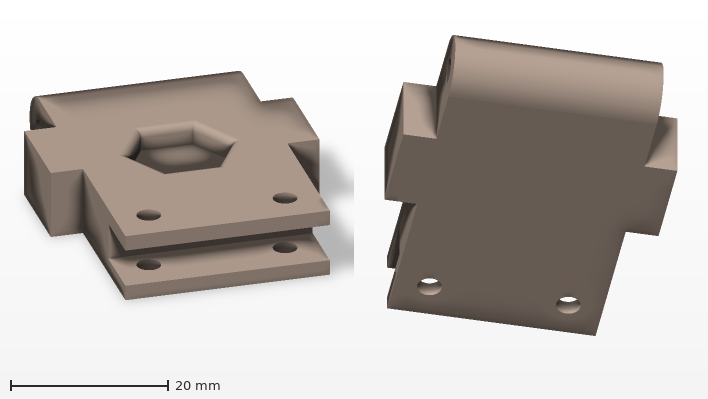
import cadquery as cq
import math

length = 45.0
body_width = 27.0
thickness = 9.1
end_radius = thickness / 2

ear_start = 12.6
ear_length = 12.45
ear_span = 35.5

pin_diameter = 3.15
bolt_diameter = 3.15
bolt_x = 40.0
bolt_spacing = 18.0

slot_depth = 8.0
slot_height = 5.0

hex_x = length / 2
hex_flats = 12.0
hex_rim_radius = 1.0
hex_depth = 2.9


def make_body():
    """Plate with a full round along its hinge edge."""
    return (
        cq.Workplane("XZ")
        .moveTo(end_radius, -end_radius)
        .lineTo(length, -end_radius)
        .lineTo(length, end_radius)
        .lineTo(end_radius, end_radius)
        .threePointArc((0, 0), (end_radius, -end_radius))
        .close()
        .extrude(body_width / 2, both=True)
    )


def make_ears():
    """One bar across the plate that sticks out as an ear on each side."""
    ear_center = ear_start + ear_length / 2
    return cq.Workplane("XY").box(ear_length, ear_span, thickness).translate((ear_center, 0, 0))


def make_pin_hole():
    return (
        cq.Workplane("XZ")
        .center(end_radius, 0)
        .circle(pin_diameter / 2)
        .extrude(body_width, both=True)
    )


def make_fork_slot():
    slot_center = length - slot_depth / 2
    return cq.Workplane("XY").box(slot_depth, body_width, slot_height).translate((slot_center, 0, 0))


def make_bolt_holes():
    return (
        cq.Workplane("XY")
        .pushPoints([(bolt_x, side * bolt_spacing / 2) for side in (-1, 1)])
        .circle(bolt_diameter / 2)
        .extrude(thickness, both=True)
    )


def make_hex_pocket():
    """Straight-walled hexagonal pocket, open at the top face."""
    corner_diameter = hex_flats / math.cos(math.pi / 6)
    return (
        cq.Workplane("XY", origin=(hex_x, 0, end_radius - hex_depth))
        .transformed(rotate=(0, 0, 30))
        .polygon(6, corner_diameter)
        .extrude(hex_depth)
    )


def round_hex_rim(part):
    """Round over the six pocket edges on the top face."""
    corner_radius = hex_flats / 2 / math.cos(math.pi / 6)
    reach = corner_radius + hex_rim_radius
    rim_zone = cq.selectors.BoxSelector(
        (hex_x - reach, -reach, end_radius - hex_rim_radius),
        (hex_x + reach, reach, end_radius + hex_rim_radius),
    )
    return part.faces(">Z").edges(rim_zone).fillet(hex_rim_radius)


result = make_body().union(make_ears())
for cutter in (make_pin_hole(), make_fork_slot(), make_bolt_holes(), make_hex_pocket()):
    result = result.cut(cutter)
result = round_hex_rim(result)